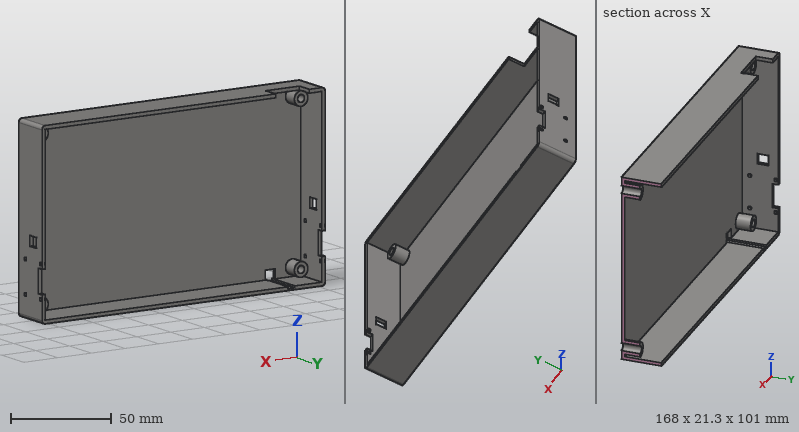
import cadquery as cq

length_x = 168.0
depth_y = 21.3
height_z = 101.0
wall = 2.0
corner_radius = 2.0

left_x = -length_x / 2
front_y = -depth_y / 2
back_y = depth_y / 2
bottom_z = -height_z / 2
floor_z = bottom_z + wall

post_inset = 7.0
post_diameter = 8.0
post_hole_diameter = 4.0
post_height = 10.0

slot_center_x = left_x + 20.0
slot_width = 6.0
slot_height = 5.0
groove_width = 4.0
groove_depth = 1.0

top_notch_start_x = left_x + 9.5
top_notch_width = 20.0
top_notch_depth = 9.0

mount_center_y = 2.35
window_center_y = mount_center_y
window_center_z = -10.0
window_width = 6.0
window_height = 5.5
mount_center_z = -29.0
mount_pitch_y = 14.0
mount_pitch_z = 18.0
mount_hole_diameter = 1.8
end_notch_depth = 3.3
end_notch_height = 13.0


def box_between(x_range, y_range, z_range):
    """Axis-aligned box spanning the given (low, high) ranges."""
    size = [high - low for low, high in (x_range, y_range, z_range)]
    lows = (x_range[0], y_range[0], z_range[0])
    return cq.Workplane("XY").box(*size, centered=False).translate(lows)


def centered_range(center, size):
    return (center - size / 2, center + size / 2)


def front_plane():
    """Sketch plane on the front face; its normal points out of the tray (-Y)."""
    return cq.Workplane("XZ", origin=(0, front_y, 0))


def make_tray():
    body = cq.Workplane("XY").box(length_x, depth_y, height_z)
    body = body.edges("|Y").fillet(corner_radius)
    cavity = box_between(
        centered_range(0, length_x - 2 * wall),
        (front_y + wall, back_y),
        centered_range(0, height_z - 2 * wall),
    )
    return body.cut(cavity)


def corner_cylinders(diameter, height):
    """Cylinders rising from the front face at the four post positions."""
    pitch_x = length_x - 2 * post_inset
    pitch_z = height_z - 2 * post_inset
    return front_plane().rarray(pitch_x, pitch_z, 2, 2).circle(diameter / 2).extrude(-height)


def make_cable_slot():
    opening = box_between(
        centered_range(slot_center_x, slot_width),
        (front_y, front_y + wall),
        (floor_z, floor_z + slot_height),
    )
    groove = box_between(
        centered_range(slot_center_x, groove_width),
        (front_y, back_y),
        (floor_z - groove_depth, floor_z),
    )
    return opening.union(groove)


def make_top_notch():
    return box_between(
        (top_notch_start_x, top_notch_start_x + top_notch_width),
        (back_y - top_notch_depth, back_y),
        (height_z / 2 - wall, height_z / 2),
    )


def make_end_openings():
    full_length = centered_range(0, length_x)
    window = box_between(
        full_length,
        centered_range(window_center_y, window_width),
        centered_range(window_center_z, window_height),
    )
    notch = box_between(
        full_length,
        (back_y - end_notch_depth, back_y),
        centered_range(mount_center_z, end_notch_height),
    )
    holes = (
        cq.Workplane("YZ", origin=(left_x, mount_center_y, mount_center_z))
        .rarray(mount_pitch_y, mount_pitch_z, 2, 2)
        .circle(mount_hole_diameter / 2)
        .extrude(length_x)
    )
    return window.union(notch).union(holes)


result = (
    make_tray()
    .cut(make_end_openings())
    .union(corner_cylinders(post_diameter, post_height))
    .cut(corner_cylinders(post_hole_diameter, post_height))
    .cut(make_cable_slot())
    .cut(make_top_notch())
)